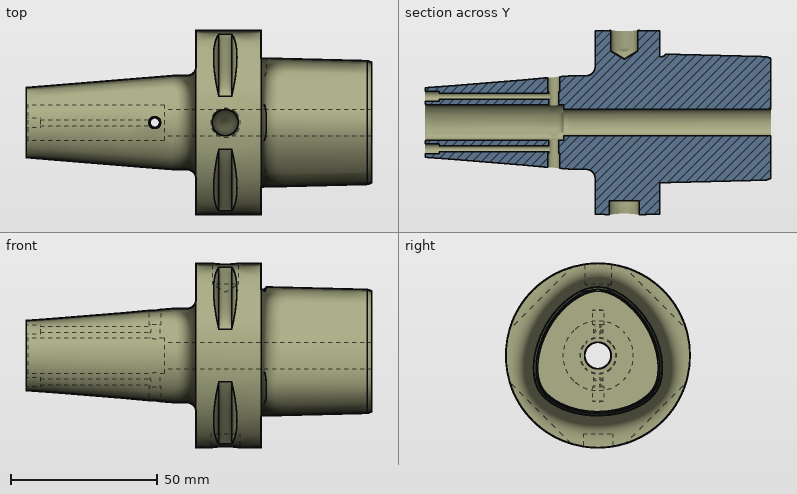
import cadquery as cq
import math

TOTAL_LENGTH = 118.0

NOSE_TIP_DIAMETER = 24.0
NOSE_ROOT_DIAMETER = 32.2
CONE_LENGTH = 50.5

FLANGE_DIAMETER = 63.0
FLANGE_FRONT = 57.9
FLANGE_BACK = 80.2
ROOT_FILLET = 3.0
GRIP_CENTER = 68.0

GROOVE_FLOOR_WIDTH = 4.4
GROOVE_MOUTH_WIDTH = 8.0
GROOVE_FLOOR_RADIUS = 27.7
GROOVE_ANGLES = (45, 135, 225, 315)

DRILL_POINT_ANGLE = 118
DIMPLE_DIAMETER = 9.0
DIMPLE_DEPTH = 7.1
CHIP_POCKET_DIAMETER = 10.0
CHIP_POCKET_DEPTH = 4.7

SHANK_DIAMETER = 44.0
SHANK_RADIUS = SHANK_DIAMETER / 2
LOBE_HEIGHT = 1.4
TAPER_START = 83.0
TAPER_RATIO = 1 / 20
END_CHAMFER_LENGTH = 1.5
END_CHAMFER_DEPTH = 0.6
LOBE_ANGLES = (90, 210, 330)
POINTS_PER_LOBE = 24

RELIEF_RADIUS = 22.7
RELIEF_END = 82.0
RELIEF_CURVE_RADIUS = 1.0

TOOL_BORE_DIAMETER = 12.0
TOOL_BORE_DEPTH = 47.2
TOOL_BORE_CHAMFER = 0.2
TOOL_BORE_CHAMFER_LENGTH = 0.5
THROUGH_BORE_DIAMETER = 9.0

DUCT_RADIUS = 9.0
DUCT_DIAMETER = 2.0
DUCT_MOUTH_DIAMETER = 3.2
DUCT_MOUTH_DEPTH = 4.7
CROSS_HOLE_POSITION = 43.9
CROSS_HOLE_DIAMETER = 3.3
CROSS_MOUTH_DIAMETER = 4.0
CROSS_MOUTH_FLOOR = 10.6


def axial_cylinder(diameter, start, end, z=0):
    """Cylinder along X, centred at height z."""
    return (
        cq.Workplane("YZ", origin=(start, 0, z))
        .circle(diameter / 2)
        .extrude(end - start)
    )


def vertical_cylinder(diameter, x, bottom, top):
    return (
        cq.Workplane("XY", origin=(x, 0, bottom))
        .circle(diameter / 2)
        .extrude(top - bottom)
    )


def turned_body():
    """Nose cone, straight collar, root fillet and flange in one revolve."""
    tip_radius = NOSE_TIP_DIAMETER / 2
    root_radius = NOSE_ROOT_DIAMETER / 2
    flange_radius = FLANGE_DIAMETER / 2
    diagonal = ROOT_FILLET * math.sqrt(0.5)
    fillet_start = FLANGE_FRONT - ROOT_FILLET
    fillet_top = root_radius + ROOT_FILLET
    return (
        cq.Workplane("XY")
        .lineTo(0, tip_radius)
        .lineTo(CONE_LENGTH, root_radius)
        .lineTo(fillet_start, root_radius)
        .threePointArc((fillet_start + diagonal, fillet_top - diagonal), (FLANGE_FRONT, fillet_top))
        .lineTo(FLANGE_FRONT, flange_radius)
        .lineTo(FLANGE_BACK, flange_radius)
        .lineTo(FLANGE_BACK, 0)
        .close()
        .revolve(360, (0, 0, 0), (1, 0, 0))
    )


def lobed_wire(x, radius):
    """Constant-width three-lobed outline, in three arcs meeting on the flats."""

    def point(degrees):
        lift = math.radians(3 * (degrees - LOBE_ANGLES[0]))
        outward = radius + LOBE_HEIGHT * math.cos(lift)
        sideways = -3 * LOBE_HEIGHT * math.sin(lift)
        direction = math.radians(degrees)
        y = outward * math.cos(direction) - sideways * math.sin(direction)
        z = outward * math.sin(direction) + sideways * math.cos(direction)
        return (y, z, 0)

    half_lobe = 180 / len(LOBE_ANGLES)
    plane = cq.Workplane("YZ", origin=(x, 0, 0))
    edges = []
    for lobe in LOBE_ANGLES:
        arc = plane.parametricCurve(
            point,
            N=POINTS_PER_LOBE,
            start=lobe - half_lobe,
            stop=lobe + half_lobe,
            smoothing=None,
            makeWire=False,
        )
        edges.append(arc.val())
    return cq.Wire.assembleEdges(edges)


def lobed_section(start, start_radius, end, end_radius):
    wires = [lobed_wire(start, start_radius), lobed_wire(end, end_radius)]
    return cq.Workplane(cq.Solid.makeLoft(wires, True))


def relieved_root():
    """Shank root beside the flange, with its lobes turned down to a round neck."""
    curve_start = RELIEF_END - RELIEF_CURVE_RADIUS
    diagonal = RELIEF_CURVE_RADIUS * math.sqrt(0.5)
    curve_top = RELIEF_RADIUS + RELIEF_CURVE_RADIUS
    envelope = (
        cq.Workplane("XY")
        .moveTo(FLANGE_BACK, 0)
        .lineTo(FLANGE_BACK, RELIEF_RADIUS)
        .lineTo(curve_start, RELIEF_RADIUS)
        .threePointArc((curve_start + diagonal, curve_top - diagonal), (RELIEF_END, curve_top))
        .lineTo(RELIEF_END, 0)
        .close()
        .revolve(360, (0, 0, 0), (1, 0, 0))
    )
    return lobed_section(FLANGE_BACK, SHANK_RADIUS, RELIEF_END, SHANK_RADIUS).intersect(envelope)


def shank():
    taper_end = TOTAL_LENGTH - END_CHAMFER_LENGTH
    small_radius = SHANK_RADIUS - (taper_end - TAPER_START) * TAPER_RATIO / 2
    straight = lobed_section(RELIEF_END, SHANK_RADIUS, TAPER_START, SHANK_RADIUS)
    taper = lobed_section(TAPER_START, SHANK_RADIUS, taper_end, small_radius)
    chamfer = lobed_section(taper_end, small_radius, TOTAL_LENGTH, small_radius - END_CHAMFER_DEPTH)
    return relieved_root().union(straight).union(taper).union(chamfer)


def gripper_groove(angle):
    """Straight groove with sloping sides, cut across the flange rim."""
    floor_half = GROOVE_FLOOR_WIDTH / 2
    mouth_half = GROOVE_MOUTH_WIDTH / 2
    rim = FLANGE_DIAMETER / 2
    return (
        cq.Workplane("XZ", origin=(GRIP_CENTER, 0, 0))
        .moveTo(-floor_half, GROOVE_FLOOR_RADIUS)
        .lineTo(floor_half, GROOVE_FLOOR_RADIUS)
        .lineTo(mouth_half, rim)
        .lineTo(-mouth_half, rim)
        .close()
        .extrude(rim, both=True)
        .rotate((0, 0, 0), (1, 0, 0), angle)
    )


def dimple():
    """Drilled hole with a conical bottom in the top of the flange."""
    rim = FLANGE_DIAMETER / 2
    radius = DIMPLE_DIAMETER / 2
    shoulder = rim - DIMPLE_DEPTH
    tip = shoulder - radius / math.tan(math.radians(DRILL_POINT_ANGLE / 2))
    return (
        cq.Workplane("XZ", origin=(GRIP_CENTER, 0, 0))
        .moveTo(0, tip)
        .lineTo(radius, shoulder)
        .lineTo(radius, rim)
        .lineTo(0, rim)
        .close()
        .revolve(360, (0, 0, 0), (0, 1, 0))
    )


def chip_pocket():
    """Flat-bottomed round pocket in the underside of the flange."""
    rim = FLANGE_DIAMETER / 2
    return vertical_cylinder(CHIP_POCKET_DIAMETER, GRIP_CENTER, -rim, CHIP_POCKET_DEPTH - rim)


def axial_bore():
    tool_bore = axial_cylinder(TOOL_BORE_DIAMETER, 0, TOOL_BORE_DEPTH)
    mouth = cq.Solid.makeCone(
        TOOL_BORE_DIAMETER / 2 + TOOL_BORE_CHAMFER,
        TOOL_BORE_DIAMETER / 2,
        TOOL_BORE_CHAMFER_LENGTH,
        cq.Vector(0, 0, 0),
        cq.Vector(1, 0, 0),
    )
    through = axial_cylinder(THROUGH_BORE_DIAMETER, 0, TOTAL_LENGTH)
    return tool_bore.union(cq.Workplane(mouth)).union(through)


def coolant_ducts():
    """Stepped ducts from the nose face, above and below the bore, to the cross holes."""
    cutter = vertical_cylinder(
        CROSS_HOLE_DIAMETER, CROSS_HOLE_POSITION, -NOSE_ROOT_DIAMETER / 2, NOSE_ROOT_DIAMETER / 2
    )
    for side in (1, -1):
        height = side * DUCT_RADIUS
        cutter = cutter.union(axial_cylinder(DUCT_DIAMETER, 0, CROSS_HOLE_POSITION, height))
        cutter = cutter.union(axial_cylinder(DUCT_MOUTH_DIAMETER, 0, DUCT_MOUTH_DEPTH, height))
        cross_mouth = vertical_cylinder(
            CROSS_MOUTH_DIAMETER,
            CROSS_HOLE_POSITION,
            side * CROSS_MOUTH_FLOOR,
            side * NOSE_ROOT_DIAMETER / 2,
        )
        cutter = cutter.union(cross_mouth)
    return cutter


result = turned_body().union(shank())
for groove_angle in GROOVE_ANGLES:
    result = result.cut(gripper_groove(groove_angle))
result = (
    result.cut(dimple())
    .cut(chip_pocket())
    .cut(axial_bore())
    .cut(coolant_ducts())
)